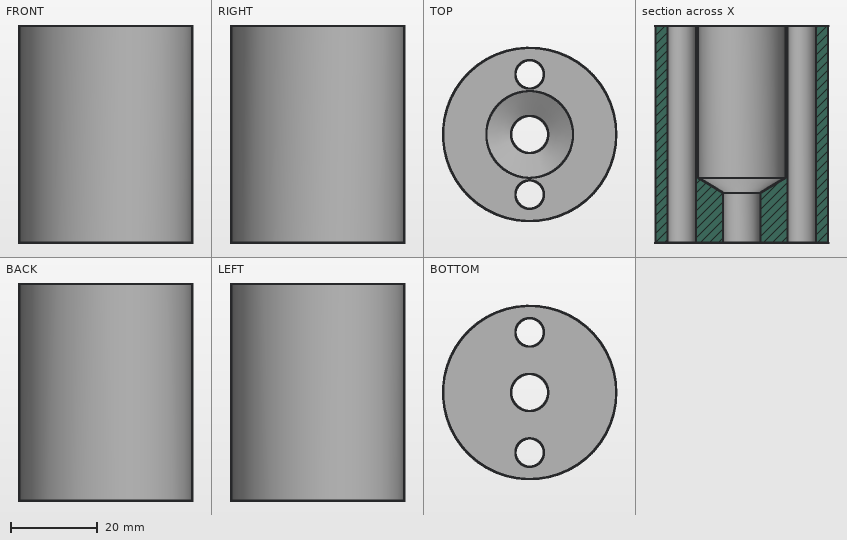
import cadquery as cq
import math

body_diameter = 40.0
body_height = 50.0

bore_diameter = 20.0
bore_depth = 35.0
drill_point_angle = 118.0
through_diameter = 8.5

side_hole_diameter = 6.5
side_hole_offset = 13.85


def make_bore_cutter():
    """Revolved bore: straight wall, conical floor, then the through hole."""
    bore_radius = bore_diameter / 2
    through_radius = through_diameter / 2
    cone_height = (bore_radius - through_radius) / math.tan(math.radians(drill_point_angle / 2))
    cone_top = body_height - bore_depth
    cone_bottom = cone_top - cone_height
    return (
        cq.Workplane("XZ")
        .moveTo(0, 0)
        .lineTo(through_radius, 0)
        .lineTo(through_radius, cone_bottom)
        .lineTo(bore_radius, cone_top)
        .lineTo(bore_radius, body_height)
        .lineTo(0, body_height)
        .close()
        .revolve(360, (0, 0, 0), (0, 1, 0))
    )


def make_side_hole_cutters():
    return (
        cq.Workplane("XY")
        .pushPoints([(0, -side_hole_offset), (0, side_hole_offset)])
        .circle(side_hole_diameter / 2)
        .extrude(body_height)
    )


body = cq.Workplane("XY").circle(body_diameter / 2).extrude(body_height)
result = body.cut(make_bore_cutter()).cut(make_side_hole_cutters())